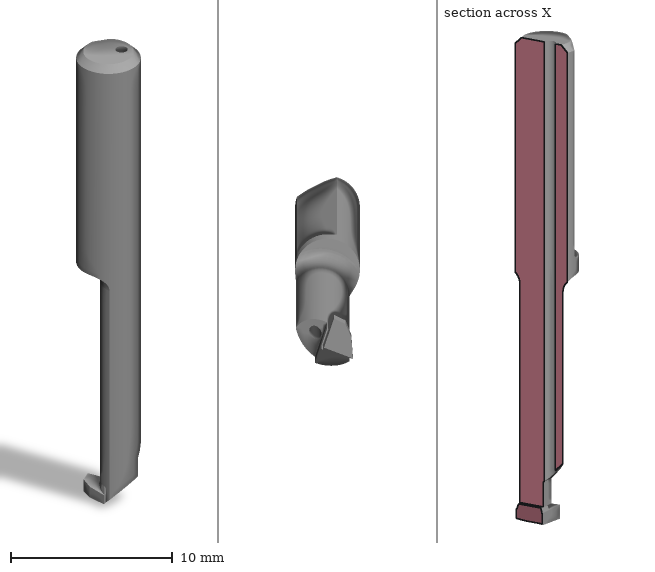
import cadquery as cq
import math

LENGTH = 31.5
SHANK_RADIUS = 2.0
TOP_CHAMFER = 0.45
SHOULDER_Z = 16.47

NECK_RADIUS = 1.8
NECK_LEFT_X = -0.35
NECK_CENTER_X = NECK_LEFT_X + NECK_RADIUS
SHOULDER_FILLET = 0.95

FLAT_ANGLE = 135.0
FLAT_DISTANCE = 1.45
FLAT_END_Z = 17.5
FLAT_END_CHAMFER = 0.2

HOLE_RADIUS = 0.38
HOLE_OFFSET = 0.6

CLEARANCE_Y = 0.15
RAMP_END_Z = 2.95

RELIEF_TOP_Z = 1.6

SEAT_X = 0.7
SEAT_Z = 1.32
BLADE_TOP_Z = 0.9
RAKE_Y = 0.05
TIP_X = -1.48
BLADE_FLANK = [(-1.35, -0.72), (-0.6, -1.35), (0.35, -1.73)]
ROOT_FLANK = [(-0.28, -0.7), (0.15, -1.35)]
ROOT_LEFT_X = -0.22
ROOT_TAPER = 15.0
BOTTOM_RISE_X = 0.06
BOTTOM_RISE_Y = 0.07

MARGIN = 1.58
SEAT_EDGE_Y = -math.sqrt(SHANK_RADIUS**2 - SEAT_X**2)


def neck_relief():
    """Space around the neck circle, rounded where it meets the shoulder."""
    outer_x = SHANK_RADIUS + NECK_CENTER_X + MARGIN
    fillet_edge = NECK_RADIUS + SHOULDER_FILLET
    fillet_z = SHOULDER_Z - SHOULDER_FILLET
    fillet_mid = SHOULDER_FILLET * (1 - math.sqrt(0.5))
    return (
        cq.Workplane("XZ")
        .moveTo(NECK_RADIUS, -MARGIN)
        .lineTo(NECK_RADIUS, fillet_z)
        .threePointArc((NECK_RADIUS + fillet_mid, SHOULDER_Z - fillet_mid), (fillet_edge, SHOULDER_Z))
        .lineTo(outer_x, SHOULDER_Z)
        .lineTo(outer_x, -MARGIN)
        .close()
        .revolve(360, (0, 0, 0), (0, 1, 0))
        .translate((NECK_CENTER_X, 0, 0))
    )


def clamping_flat():
    """Cutter for the flat, with a chamfered inner corner at its lower end."""
    outer = SHANK_RADIUS + MARGIN
    return (
        cq.Workplane("XZ")
        .moveTo(FLAT_DISTANCE, LENGTH + MARGIN)
        .lineTo(FLAT_DISTANCE, FLAT_END_Z + FLAT_END_CHAMFER)
        .lineTo(FLAT_DISTANCE + FLAT_END_CHAMFER, FLAT_END_Z)
        .lineTo(outer, FLAT_END_Z)
        .lineTo(outer, LENGTH + MARGIN)
        .close()
        .extrude(SHANK_RADIUS, both=True)
        .rotate((0, 0, 0), (0, 0, 1), FLAT_ANGLE)
    )


def chip_clearance():
    """Cutter that removes the +Y side of the neck below the ramp."""
    outer_y = SHANK_RADIUS + MARGIN
    return (
        cq.Workplane("YZ")
        .moveTo(CLEARANCE_Y, -MARGIN)
        .lineTo(CLEARANCE_Y, RAMP_END_Z)
        .lineTo(outer_y, RAMP_END_Z + outer_y - CLEARANCE_Y)
        .lineTo(outer_y, -MARGIN)
        .close()
        .extrude(SHANK_RADIUS + MARGIN, both=True)
    )


def corner_relief():
    """Wedge under the 45 degree plane on the +X side."""
    reach = RELIEF_TOP_Z + MARGIN
    return (
        cq.Workplane("XZ")
        .moveTo(SHANK_RADIUS + MARGIN, RELIEF_TOP_Z + MARGIN)
        .lineTo(SHANK_RADIUS - reach, -MARGIN)
        .lineTo(SHANK_RADIUS + MARGIN, -MARGIN)
        .close()
        .extrude(SHANK_RADIUS + MARGIN, both=True)
    )


def insert_seat():
    """Block removed from the neck end to receive the insert."""
    size = 2 * (SHANK_RADIUS + MARGIN)
    return (
        cq.Workplane("XY")
        .box(size, size, SEAT_Z + MARGIN, centered=(False, True, False))
        .translate((SEAT_X - size, 0, -MARGIN))
    )


def make_holder():
    shank = (
        cq.Workplane("XY")
        .circle(SHANK_RADIUS)
        .extrude(LENGTH)
        .faces(">Z")
        .chamfer(TOP_CHAMFER)
    )
    hole = cq.Workplane("XY").center(HOLE_OFFSET, HOLE_OFFSET).circle(HOLE_RADIUS).extrude(LENGTH)
    return (
        shank.cut(neck_relief())
        .cut(clamping_flat())
        .cut(hole)
        .cut(chip_clearance())
        .cut(corner_relief())
        .cut(insert_seat())
    )


def bottom_clearance():
    """Half space under the sloping bottom face, which is lowest at the tip."""
    bottom = cq.Plane(
        origin=(TIP_X, RAKE_Y, 0),
        xDir=(1, 0, BOTTOM_RISE_X),
        normal=(-BOTTOM_RISE_X, BOTTOM_RISE_Y, 1),
    )
    size = 4 * SHANK_RADIUS
    return cq.Workplane(bottom).rect(size, size).extrude(-MARGIN)


def make_insert():
    blade_outline = [(SEAT_X, RAKE_Y), (TIP_X, RAKE_Y), *BLADE_FLANK, (SEAT_X, SEAT_EDGE_Y)]
    root_outline = [(SEAT_X, RAKE_Y), (ROOT_LEFT_X, RAKE_Y), *ROOT_FLANK, (SEAT_X, SEAT_EDGE_Y)]
    blade = cq.Workplane("XY").polyline(blade_outline).close().extrude(BLADE_TOP_Z)
    root = (
        cq.Workplane("XY")
        .workplane(offset=BLADE_TOP_Z)
        .polyline(root_outline)
        .close()
        .extrude(SEAT_Z - BLADE_TOP_Z, taper=ROOT_TAPER)
    )
    return blade.union(root).cut(bottom_clearance()).cut(corner_relief())


holder = make_holder()
insert = make_insert()

result = cq.Compound.makeCompound([holder.val(), insert.val()])